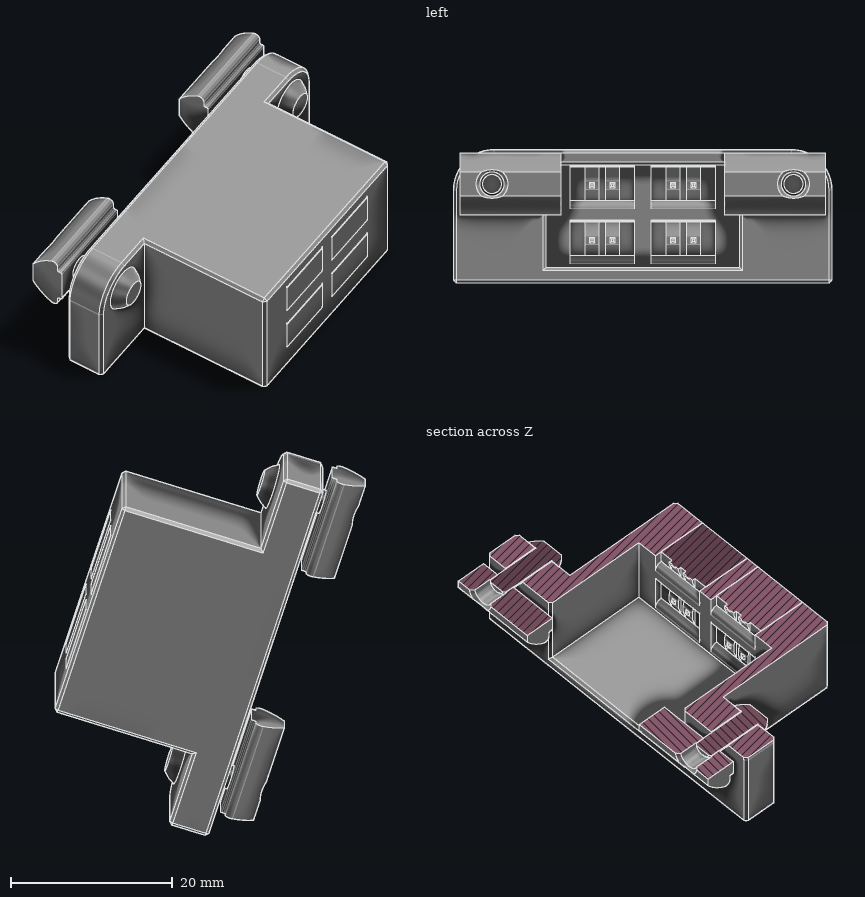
import cadquery as cq
import math


SIDES = (-1, 1)

housing_length = 23.03
housing_height = 16.5
flange_width = 46.8
flange_thickness = 5.1
flange_corner_radius = 5.0
box_width = 27.8
edge_chamfer = 0.4
wall = 1.9
cavity_width = box_width - 2 * wall
cavity_height = housing_height - 2 * wall
cavity_depth = 14.98
mouth_chamfer = 0.37

screw_y = 18.63
screw_z = 12.25
screw_diameter = 3.0
screw_length = 8.0
screw_tip_chamfer = 0.35
head_diameter = 5.7
head_flat_diameter = 3.28
head_height = 1.55
head_bulge = 0.115
clearance_hole_diameter = 3.1

nut_gap = 1.35
nut_thickness = 4.3
nut_length = 12.5
nut_end_to_screw = 4.0
nut_face_half = 1.5
flank_middle_depth = 1.25
flank_middle_half = 2.85
flank_end_depth = 2.75
flank_end_half = 3.8
tip_middle_depth = 3.45
tip_middle_half = 3.7
tip_end_half = 3.3
collar_half = 2.45
collar_thickness = 0.6
collar_round = 0.2
nut_bevel_diameter = 3.95
nut_back = -nut_gap
nut_front = nut_back - nut_thickness

connector_y = 5.0
opening_width = 7.95
opening_height = 5.35
opening_bottoms = (2.45, 9.2)
lip_radius = 1.0
top_clearance = 0.15
connector_front = cavity_depth + lip_radius
connector_height = opening_height - lip_radius - top_clearance

contact_pitch = 2.55
contact_width = 1.7
contact_projection = 0.4
nose_bottom = 1.35
nose_height = 1.08
pin_width = 0.65
pin_tip_width = 0.3
pin_tip_length = 0.25


def block(x_start, x_end, y_center, width, z_start, z_end):
    """A box between two X planes and two Z planes, centred on y_center."""
    return (
        cq.Workplane("XY", origin=(x_start, y_center, z_start))
        .box(x_end - x_start, width, z_end - z_start, centered=(False, True, False))
    )


def screw_hole(diameter, x_start, x_end, side):
    """A cylinder along the screw axis."""
    return (
        cq.Workplane("YZ", origin=(x_start, side * screw_y, screw_z))
        .circle(diameter / 2)
        .extrude(x_end - x_start)
    )


def is_sharp_outer_edge(edge):
    """False for the two inner corners beside the box and the seams of the rounded flange corners."""
    tolerance = 0.005
    center = edge.Center()
    at_flange_back = abs(center.x - flange_thickness) < tolerance
    at_box_side = abs(abs(center.y) - box_width / 2) < tolerance
    at_flange_middle = abs(center.x - flange_thickness / 2) < tolerance
    above_base = center.z > tolerance
    return not (at_flange_back and at_box_side) and not (at_flange_middle and above_base)


def make_shell():
    """The flange and the box behind it, with every sharp outer edge chamfered."""
    flange = block(0, flange_thickness, 0, flange_width, 0, housing_height)
    flange = flange.edges("|X and >Z").fillet(flange_corner_radius)
    shell = flange.union(block(0, housing_length, 0, box_width, 0, housing_height))
    sharp_edges = [edge for edge in shell.edges().vals() if is_sharp_outer_edge(edge)]
    return shell.newObject(sharp_edges).chamfer(edge_chamfer)


def make_cavity():
    """The space inside the box, widened by a chamfer at its mouth."""
    cavity = block(0, cavity_depth, 0, cavity_width, wall, wall + cavity_height)
    mouth = (
        cq.Workplane("YZ", origin=(0, 0, housing_height / 2))
        .rect(cavity_width + 2 * mouth_chamfer, cavity_height + 2 * mouth_chamfer)
        .workplane(offset=mouth_chamfer)
        .rect(cavity_width, cavity_height)
        .loft()
    )
    return cavity.union(mouth)


def make_opening(y_center, bottom):
    """A passage through the rear wall to just above its connector, with a rounded lower lip."""
    top = bottom + opening_height
    floor = bottom + lip_radius
    lip_offset = lip_radius * math.sqrt(0.5)
    return (
        cq.Workplane("XZ", origin=(0, y_center + opening_width / 2, 0))
        .moveTo(cavity_depth, top)
        .lineTo(cavity_depth, bottom)
        .threePointArc(
            (connector_front - lip_offset, bottom + lip_offset),
            (connector_front, floor),
        )
        .lineTo(housing_length, floor)
        .lineTo(housing_length, top)
        .close()
        .extrude(opening_width)
    )


def make_housing():
    housing = make_shell().cut(make_cavity())
    for side in SIDES:
        housing = housing.cut(screw_hole(clearance_hole_diameter, 0, flange_thickness, side))
        for bottom in opening_bottoms:
            housing = housing.cut(make_opening(side * connector_y, bottom))
    return housing


def make_screw(side):
    """A button-head screw, revolved about its axis, with its head against the flange back."""
    tip = flange_thickness - screw_length
    head_end = flange_thickness + head_height
    shank_radius = screw_diameter / 2
    head_radius = head_diameter / 2
    flat_radius = head_flat_diameter / 2

    dome_drop = head_radius - flat_radius
    dome_chord = math.hypot(head_height, dome_drop)
    dome_middle = (
        flange_thickness + head_height / 2 + head_bulge * dome_drop / dome_chord,
        (head_radius + flat_radius) / 2 + head_bulge * head_height / dome_chord,
    )
    return (
        cq.Workplane("XY")
        .moveTo(tip, 0)
        .lineTo(tip, shank_radius - screw_tip_chamfer)
        .lineTo(tip + screw_tip_chamfer, shank_radius)
        .lineTo(flange_thickness, shank_radius)
        .lineTo(flange_thickness, head_radius)
        .threePointArc(dome_middle, (head_end, flat_radius))
        .lineTo(head_end, 0)
        .close()
        .revolve(360, (0, 0, 0), (1, 0, 0))
        .translate((0, side * screw_y, screw_z))
    )


def make_nut_bar(side):
    """The bar of the nut: its upper half extruded along Y, then mirrored."""
    y_center = side * (screw_y + nut_end_to_screw - nut_length / 2)
    shoulder = nut_thickness - collar_thickness
    round_offset = collar_round * (1 - math.sqrt(0.5))
    upper_half = (
        cq.Workplane("XZ", origin=(nut_front, y_center, screw_z))
        .moveTo(0, 0)
        .lineTo(0, nut_face_half)
        .threePointArc((flank_middle_depth, flank_middle_half), (flank_end_depth, flank_end_half))
        .threePointArc((tip_middle_depth, tip_middle_half), (shoulder, tip_end_half))
        .lineTo(shoulder, collar_half + collar_round)
        .threePointArc(
            (shoulder + round_offset, collar_half + round_offset),
            (shoulder + collar_round, collar_half),
        )
        .lineTo(nut_thickness - collar_round, collar_half)
        .threePointArc(
            (nut_thickness - round_offset, collar_half - round_offset),
            (nut_thickness, collar_half - collar_round),
        )
        .lineTo(nut_thickness, 0)
        .close()
        .extrude(nut_length / 2, both=True)
    )
    return upper_half.union(upper_half.mirror("XY", (0, 0, screw_z)))


def make_nut(side):
    """A nut bar with a screw hole, bevelled at the front."""
    bevel = (
        cq.Workplane("YZ", origin=(nut_front, side * screw_y, screw_z))
        .circle(nut_bevel_diameter / 2)
        .workplane(offset=(nut_bevel_diameter - screw_diameter) / 2)
        .circle(screw_diameter / 2)
        .loft()
    )
    hole = screw_hole(screw_diameter, nut_front, nut_back, side)
    return make_nut_bar(side).cut(hole).cut(bevel)


def make_contact(y_center, floor):
    """A wedge-shaped contact with the tip of its pin."""
    nose_x = connector_front - contact_projection
    nose_top = nose_bottom + nose_height
    wedge = (
        cq.Workplane("XZ", origin=(connector_front, y_center + contact_width / 2, floor))
        .moveTo(0, 0)
        .lineTo(-contact_projection, nose_bottom)
        .lineTo(-contact_projection, nose_top)
        .lineTo(0, connector_height)
        .close()
        .extrude(contact_width)
    )
    pin_tip = (
        cq.Workplane("YZ", origin=(nose_x, y_center, floor + (nose_bottom + nose_top) / 2))
        .rect(pin_width, pin_width)
        .workplane(offset=-pin_tip_length)
        .rect(pin_tip_width, pin_tip_width)
        .loft()
    )
    return wedge.union(pin_tip)


def make_connector(y_center, bottom):
    """A block that reaches from behind the rounded lip to the housing's rear face."""
    floor = bottom + lip_radius
    top = floor + connector_height
    connector = block(connector_front, housing_length, y_center, opening_width, floor, top)
    for side in SIDES:
        contact_y = y_center + side * contact_pitch / 2
        connector = connector.union(make_contact(contact_y, floor))
    return connector


housing = make_housing()
screws = [make_screw(side) for side in SIDES]
nuts = [make_nut(side) for side in SIDES]
connectors = [
    make_connector(side * connector_y, bottom) for side in SIDES for bottom in opening_bottoms
]
bodies = [housing, *screws, *nuts, *connectors]
result = cq.Compound.makeCompound([body.solids().val() for body in bodies])